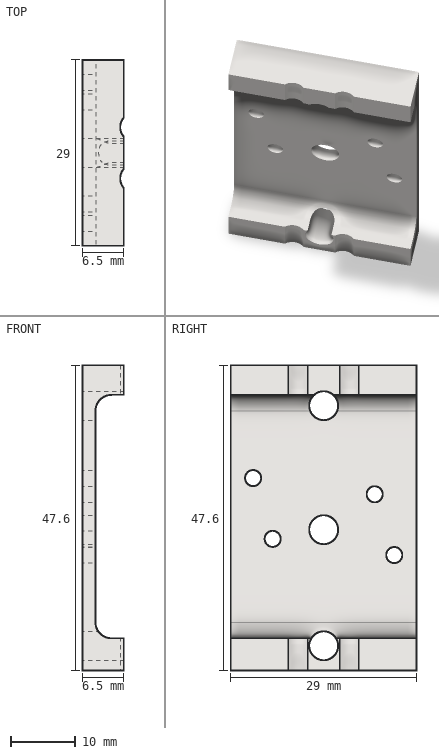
import cadquery as cq

depth = 6.5
width = 29.0
height = 47.6

web_thickness = 2.05
top_flange_height = 4.65
bottom_flange_height = 5.05
inner_radius = 2.5

large_diameter = 4.5
large_hole_heights = (3.85, 21.95, 41.3)

small_diameter = 2.5
pattern_height = 24.0
outer_hole_offset = (11.0, -6.0)
inner_hole_offset = (7.95, 3.5)

groove_diameter = 4.5
groove_depth = 0.55
groove_spacing = 8.0


def bracket_body():
    """C-shaped profile, with rounded inner corners, extruded along Y."""
    recess_height = height - top_flange_height - bottom_flange_height
    body = cq.Workplane("XY").box(depth, width, height, centered=(False, True, False))
    recess = (
        cq.Workplane("XY")
        .box(depth, width, recess_height, centered=(False, True, False))
        .edges("|Y and <X")
        .fillet(inner_radius)
        .translate((web_thickness, 0, bottom_flange_height))
    )
    return body.cut(recess)


def holes_along_x(positions, diameter):
    """Through-hole cutters at the given (y, z) positions."""
    return cq.Workplane("YZ").pushPoints(positions).circle(diameter / 2).extrude(depth)


def small_hole_positions():
    """Each offset gives one hole on either side of the pattern centre."""
    positions = []
    for y, z in (outer_hole_offset, inner_hole_offset):
        for side in (-1, 1):
            positions.append((side * y, pattern_height + side * z))
    return positions


def grooves():
    """Vertical cylinders that graze the flange faces."""
    groove_x = depth + groove_diameter / 2 - groove_depth
    centers = [(groove_x, side * groove_spacing / 2) for side in (-1, 1)]
    return cq.Workplane("XY").pushPoints(centers).circle(groove_diameter / 2).extrude(height)


large_hole_positions = [(0, z) for z in large_hole_heights]

result = (
    bracket_body()
    .cut(holes_along_x(large_hole_positions, large_diameter))
    .cut(holes_along_x(small_hole_positions(), small_diameter))
    .cut(grooves())
)